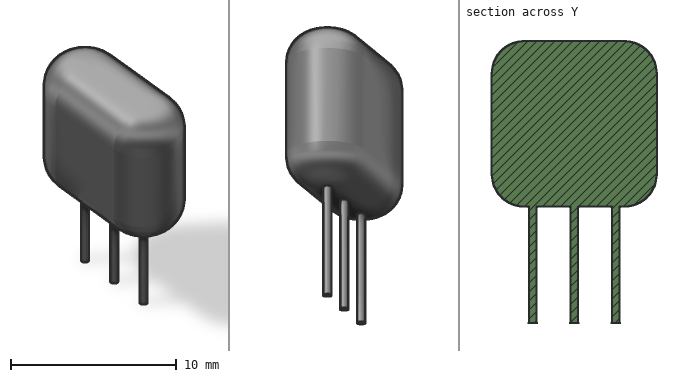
import cadquery as cq

body_width = 10.0
body_depth = 5.0
body_height = 10.0
rim_radius = 2.0

pin_diameter = 0.5
pin_length = 7.0
pin_pitch = 2.5
pin_count = 3
pin_embed = 1.0


def make_body():
    """Slot-shaped prism standing on Z = 0, with its top and bottom rims filleted."""
    prism = cq.Workplane("XY").slot2D(body_width, body_depth).extrude(body_height)
    return prism.faces("<Z or >Z").edges().fillet(rim_radius)


def make_pins():
    """Evenly spaced pins along X, centred under the body."""
    return (
        cq.Workplane("XY")
        .workplane(offset=-pin_length)
        .rarray(pin_pitch, 1, pin_count, 1)
        .circle(pin_diameter / 2)
        .extrude(pin_length + pin_embed)
    )


result = make_body().union(make_pins())